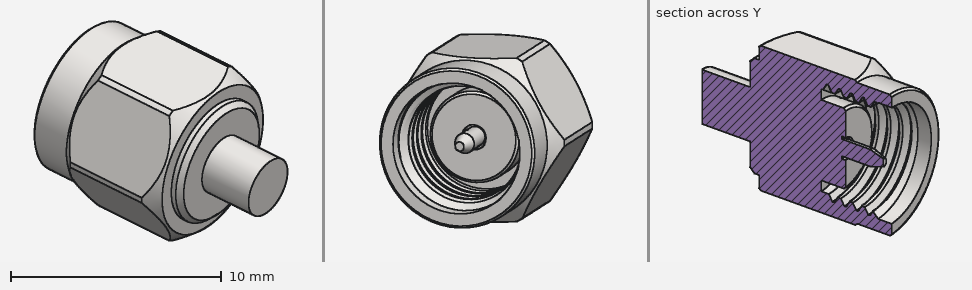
import cadquery as cq
import math

TOTAL_LENGTH = 11.18

COLLAR_RADIUS = 3.87
COLLAR_LENGTH = 2.03
COLLAR_CHAMFER = 0.11
HEX_ACROSS_FLATS = 7.94
HEX_CORNER_RADIUS = 4.49
HEX_TAPER_LENGTH = 0.74
HEX_END = 7.83

RING_RADIUS = 3.16
RING_END = 8.36
RING_CHAMFER = 0.27
SLEEVE_RADIUS = 1.5

ENTRY_RADIUS = 3.16
ENTRY_DEPTH = 0.79
BORE_RADIUS = 2.78
BORE_DEPTH = 4.14
THREAD_PITCH = 0.7
THREAD_ROOT_RADIUS = 3.14
THREAD_ROOT_WIDTH = THREAD_PITCH / 8
THREAD_FLANK_ANGLE = 30.0
THREAD_START = 0.63
THREAD_TURNS = 4.5
THREAD_OVERCUT = 0.1

INSULATOR_RADIUS = 2.21
INSULATOR_FACE = 2.7
INSULATOR_CHAMFER = 0.12
PIN_HOLE_RADIUS = 0.6
PIN_HOLE_DEPTH = 0.22
PIN_RADIUS = 0.48
PIN_TIP_RADIUS = 0.22
PIN_TIP = 0.48
PIN_TAPER_LENGTH = 0.78


def turned(points):
    """Solid of revolution about X from (x, radius) points; the axis closes the outline."""
    start, end = points[0][0], points[-1][0]
    outline = [(start, 0), *points, (end, 0)]
    return cq.Workplane("XY").polyline(outline).close().revolve(360, (0, 0, 0), (1, 0, 0))


def cylinder(start, end, radius):
    return turned([(start, radius), (end, radius)])


def hexagon():
    """Hexagon with flats facing +Z and -Z, corners rounded and both ends tapered."""
    corner_diameter = HEX_ACROSS_FLATS / math.cos(math.radians(30))
    prism = (
        cq.Workplane("YZ", origin=(COLLAR_LENGTH, 0, 0))
        .polygon(6, corner_diameter)
        .extrude(HEX_END - COLLAR_LENGTH)
    )
    envelope = turned([
        (COLLAR_LENGTH, COLLAR_RADIUS),
        (COLLAR_LENGTH + HEX_TAPER_LENGTH, HEX_CORNER_RADIUS),
        (HEX_END - HEX_TAPER_LENGTH, HEX_CORNER_RADIUS),
        (HEX_END, COLLAR_RADIUS),
    ])
    return prism.intersect(envelope)


def outer_body():
    collar = turned([
        (0, COLLAR_RADIUS - COLLAR_CHAMFER),
        (COLLAR_CHAMFER, COLLAR_RADIUS),
        (COLLAR_LENGTH, COLLAR_RADIUS),
    ])
    rear = turned([
        (HEX_END, RING_RADIUS),
        (RING_END - RING_CHAMFER, RING_RADIUS),
        (RING_END, RING_RADIUS - RING_CHAMFER),
        (RING_END, SLEEVE_RADIUS),
        (TOTAL_LENGTH, SLEEVE_RADIUS),
    ])
    return collar.union(hexagon()).union(rear)


def bore():
    """Plain entry, 45 degree lead-in and the minor diameter of the thread."""
    lead_in = ENTRY_RADIUS - BORE_RADIUS
    return turned([
        (0, ENTRY_RADIUS),
        (ENTRY_DEPTH, ENTRY_RADIUS),
        (ENTRY_DEPTH + lead_in, BORE_RADIUS),
        (BORE_DEPTH, BORE_RADIUS),
    ])


def thread_groove():
    """Right-handed helical groove that starts in the bore entry and stops short of the bore floor."""
    inner_radius = BORE_RADIUS - THREAD_OVERCUT
    flank_run = (THREAD_ROOT_RADIUS - inner_radius) * math.tan(math.radians(THREAD_FLANK_ANGLE))
    half_root = THREAD_ROOT_WIDTH / 2
    half_mouth = half_root + flank_run
    helix = cq.Wire.makeHelix(THREAD_PITCH, THREAD_TURNS * THREAD_PITCH, THREAD_ROOT_RADIUS)
    return (
        cq.Workplane("XZ")
        .polyline([
            (inner_radius, -half_mouth),
            (THREAD_ROOT_RADIUS, -half_root),
            (THREAD_ROOT_RADIUS, half_root),
            (inner_radius, half_mouth),
        ])
        .close()
        .sweep(cq.Workplane(helix), isFrenet=True)
        .rotate((0, 0, 0), (0, 1, 0), 90)
        .translate((THREAD_START, 0, 0))
    )


def insulator():
    body = turned([
        (INSULATOR_FACE, INSULATOR_RADIUS - INSULATOR_CHAMFER),
        (INSULATOR_FACE + INSULATOR_CHAMFER, INSULATOR_RADIUS),
        (BORE_DEPTH, INSULATOR_RADIUS),
    ])
    return body.cut(cylinder(INSULATOR_FACE, INSULATOR_FACE + PIN_HOLE_DEPTH, PIN_HOLE_RADIUS))


def pin():
    return turned([
        (PIN_TIP, PIN_TIP_RADIUS),
        (PIN_TIP + PIN_TAPER_LENGTH, PIN_RADIUS),
        (BORE_DEPTH, PIN_RADIUS),
    ])


shell = outer_body().cut(bore()).cut(thread_groove())
result = shell.union(insulator()).union(pin())